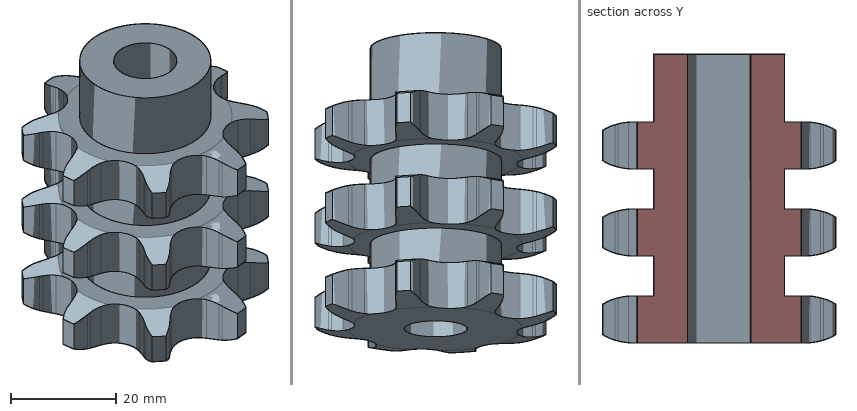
import cadquery as cq
import math


CHAIN_PITCH = 15.875
ROLLER_DIAMETER = 10.16
STRAND_SPACING = 16.55
STRAND_COUNT = 3

TOOTH_COUNT = 8
TIP_DIAMETER = 47.0
TOOTH_WIDTH = 9.0
SIDE_RELIEF_RADIUS = 16.0
SIDE_RELIEF_DEPTH = 1.6

HUB_DIAMETER = 25.0
BORE_DIAMETER = 12.0
TOTAL_LENGTH = 55.0

SEAT_FACTOR = 1.005
SEAT_ALLOWANCE = 0.0762
SEAT_BASE_ANGLE = 35
SEAT_TOOTH_ANGLE = 60
WORKING_BASE_ANGLE = 18
WORKING_TOOTH_ANGLE = 56
WORKING_CENTER_FACTOR = 0.8
TOPPING_CENTER_FACTOR = 1.4

TIP_CLEARANCE = 0.3

HALF_TOOTH_ANGLE = math.pi / TOOTH_COUNT
PITCH_RADIUS = CHAIN_PITCH / (2 * math.sin(HALF_TOOTH_ANGLE))
TIP_RADIUS = TIP_DIAMETER / 2
SEAT_RADIUS = (SEAT_FACTOR * ROLLER_DIAMETER + SEAT_ALLOWANCE) / 2
SEAT_ANGLE = math.radians(SEAT_BASE_ANGLE + SEAT_TOOTH_ANGLE / TOOTH_COUNT)
WORKING_ANGLE = math.radians(WORKING_BASE_ANGLE - WORKING_TOOTH_ANGLE / TOOTH_COUNT)
CUT_RADIUS = TIP_RADIUS + TIP_CLEARANCE


def polar(center, radius, angle):
    """Point at the given radius and angle from a center."""
    return (center[0] + radius * math.cos(angle), center[1] + radius * math.sin(angle))


def mirrored(point):
    """Point mirrored across the center line of the gap."""
    return (-point[0], point[1])


def tooth_gap():
    """Cutter for the gap centered on +Y: seat, working arc, straight and topping arc per flank."""
    roller = (0.0, PITCH_RADIUS)
    seat_bottom = polar(roller, SEAT_RADIUS, -math.pi / 2)
    seat_end = polar(roller, SEAT_RADIUS, -SEAT_ANGLE)

    working_offset = WORKING_CENTER_FACTOR * ROLLER_DIAMETER
    working_center = polar(roller, working_offset, math.pi - SEAT_ANGLE)
    working_radius = SEAT_RADIUS + working_offset
    flank_angle = SEAT_ANGLE - WORKING_ANGLE
    working_mid = polar(working_center, working_radius, -SEAT_ANGLE + WORKING_ANGLE / 2)
    working_end = polar(working_center, working_radius, -flank_angle)

    topping_center = polar(roller, TOPPING_CENTER_FACTOR * ROLLER_DIAMETER, -HALF_TOOTH_ANGLE)
    center_distance = (
        (topping_center[0] - working_center[0]) * math.cos(flank_angle)
        - (topping_center[1] - working_center[1]) * math.sin(flank_angle)
    )
    topping_radius = center_distance - working_radius
    topping_start_angle = math.pi - flank_angle
    topping_end_angle = math.pi - math.asin((CUT_RADIUS - topping_center[1]) / topping_radius)
    topping_mid_angle = (topping_start_angle + topping_end_angle) / 2
    topping_start = polar(topping_center, topping_radius, topping_start_angle)
    topping_mid = polar(topping_center, topping_radius, topping_mid_angle)
    topping_end = polar(topping_center, topping_radius, topping_end_angle)

    return (
        cq.Workplane("XY")
        .moveTo(*mirrored(topping_end))
        .threePointArc(mirrored(topping_mid), mirrored(topping_start))
        .lineTo(*mirrored(working_end))
        .threePointArc(mirrored(working_mid), mirrored(seat_end))
        .threePointArc(seat_bottom, seat_end)
        .threePointArc(working_mid, working_end)
        .lineTo(*topping_start)
        .threePointArc(topping_mid, topping_end)
        .close()
        .extrude(TOOTH_WIDTH)
    )


def toothed_disc():
    """One sprocket strand with its underside on Z = 0 and both tooth sides rounded."""
    relief_axial = SIDE_RELIEF_RADIUS - SIDE_RELIEF_DEPTH
    relief_start = TIP_RADIUS - math.sqrt(SIDE_RELIEF_RADIUS**2 - relief_axial**2)
    half_sweep = math.acos(relief_axial / SIDE_RELIEF_RADIUS) / 2
    mid_radius = relief_start + SIDE_RELIEF_RADIUS * math.sin(half_sweep)
    mid_drop = SIDE_RELIEF_RADIUS * (1 - math.cos(half_sweep))

    disc = (
        cq.Workplane("XZ")
        .lineTo(relief_start, 0)
        .threePointArc((mid_radius, mid_drop), (TIP_RADIUS, SIDE_RELIEF_DEPTH))
        .lineTo(TIP_RADIUS, TOOTH_WIDTH - SIDE_RELIEF_DEPTH)
        .threePointArc((mid_radius, TOOTH_WIDTH - mid_drop), (relief_start, TOOTH_WIDTH))
        .lineTo(0, TOOTH_WIDTH)
        .close()
        .revolve(360, (0, 0, 0), (0, 1, 0))
    )
    gap = tooth_gap()
    for index in range(TOOTH_COUNT):
        disc = disc.cut(gap.rotate((0, 0, 0), (0, 0, 1), index * 360 / TOOTH_COUNT))
    return disc


def sprocket():
    """Hub carrying the equally spaced strands, with a through bore."""
    body = cq.Workplane("XY").circle(HUB_DIAMETER / 2).extrude(TOTAL_LENGTH)
    disc = toothed_disc()
    for strand in range(STRAND_COUNT):
        body = body.union(disc.translate((0, 0, strand * STRAND_SPACING)))
    bore = cq.Workplane("XY").circle(BORE_DIAMETER / 2).extrude(TOTAL_LENGTH)
    return body.cut(bore)


result = sprocket()